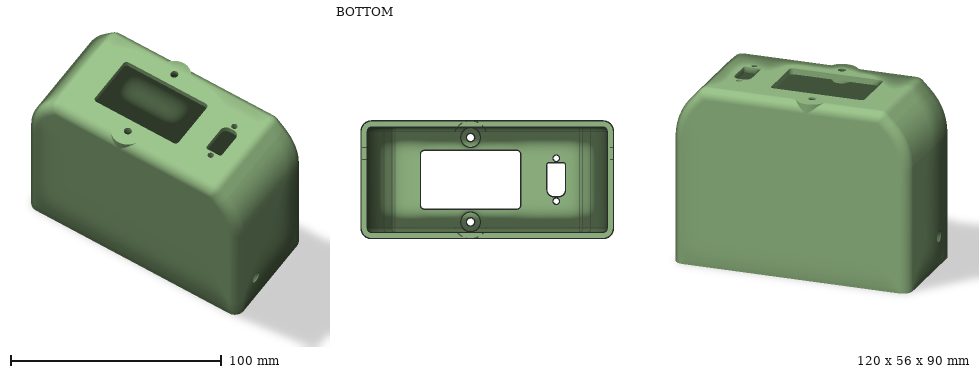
import cadquery as cq

LENGTH = 120.0
WIDTH = 56.0
HEIGHT = 90.0
WALL = 3.0
EDGE_RADIUS = 5.0
SHOULDER_CHAMFER = 14.0
SHOULDER_RADIUS = 30.0

SELECT_MARGIN = 1.2

WINDOW_X = -7.9
WINDOW_LENGTH = 47.5
WINDOW_WIDTH = 27.8
WINDOW_CORNER_RADIUS = 1.8
SCREW_Y = 20.0
SCREW_DIAMETER = 3.8
PAD_RADIUS = WIDTH / 2 - SCREW_Y
PAD_HEIGHT = EDGE_RADIUS
BOSS_RADIUS = 4.7

CONNECTOR_X = 32.8
CONNECTOR_LENGTH = 8.8
CONNECTOR_WIDTH = 16.1
CONNECTOR_LARGE_RADIUS = 3.2
CONNECTOR_SMALL_RADIUS = 1.0
CONNECTOR_SCREW_Y = 10.2
CONNECTOR_SCREW_DIAMETER = 3.0

SIDE_HOLE_DIAMETER = 5.5
SIDE_HOLE_Y = -12.5
SIDE_HOLE_Z = 15.0


def rounded_block(inset):
    """Shouldered block, offset inwards by `inset` everywhere except at the open bottom."""
    length = LENGTH - 2 * inset
    width = WIDTH - 2 * inset
    height = HEIGHT - inset
    chamfer = SHOULDER_CHAMFER - (2 - 2 ** 0.5) * inset
    edge_radius = EDGE_RADIUS - inset
    block = cq.Workplane("XY").box(length, width, height, centered=(True, True, False))
    block = block.edges("|Y and >Z").chamfer(chamfer)
    shoulder_z = height - chamfer
    lower_edges = cq.selectors.BoxSelector(
        (-LENGTH, -WIDTH, shoulder_z - SELECT_MARGIN), (LENGTH, WIDTH, shoulder_z + SELECT_MARGIN)
    )
    block = block.edges("|Y").edges(lower_edges).fillet(SHOULDER_RADIUS - inset)
    block = block.edges("|Y and >Z").fillet(edge_radius)
    return block.faces("<Y or >Y").edges("not <Z").fillet(edge_radius)


def top_cutter(x, y_positions, diameter):
    """Vertical round cutters through the top plate."""
    points = [(x, y) for y in y_positions]
    plane = cq.Workplane("XY").workplane(offset=HEIGHT / 2)
    return plane.pushPoints(points).circle(diameter / 2).extrude(HEIGHT)


def screw_discs(radius):
    """Discs around the two window screws, flush with the top face."""
    plane = cq.Workplane("XY").workplane(offset=HEIGHT - PAD_HEIGHT)
    points = [(WINDOW_X, SCREW_Y), (WINDOW_X, -SCREW_Y)]
    return plane.pushPoints(points).circle(radius).extrude(PAD_HEIGHT)


def window_cutter():
    plane = cq.Workplane("XY").workplane(offset=HEIGHT / 2).center(WINDOW_X, 0)
    window = plane.rect(WINDOW_LENGTH, WINDOW_WIDTH).extrude(HEIGHT)
    return window.edges("|Z").fillet(WINDOW_CORNER_RADIUS)


def connector_cutter():
    plane = cq.Workplane("XY").workplane(offset=HEIGHT / 2).center(CONNECTOR_X, 0)
    opening = plane.rect(CONNECTOR_LENGTH, CONNECTOR_WIDTH).extrude(HEIGHT)
    opening = opening.edges("|Z and >Y").fillet(CONNECTOR_LARGE_RADIUS)
    return opening.edges("|Z and <Y").fillet(CONNECTOR_SMALL_RADIUS)


def side_hole_cutter():
    plane = cq.Workplane("YZ").center(SIDE_HOLE_Y, SIDE_HOLE_Z)
    return plane.circle(SIDE_HOLE_DIAMETER / 2).extrude(LENGTH, both=True)


result = (
    rounded_block(0)
    .union(screw_discs(PAD_RADIUS))
    .cut(rounded_block(WALL))
    .union(screw_discs(BOSS_RADIUS))
    .cut(window_cutter())
    .cut(top_cutter(WINDOW_X, (SCREW_Y, -SCREW_Y), SCREW_DIAMETER))
    .cut(connector_cutter())
    .cut(top_cutter(CONNECTOR_X, (CONNECTOR_SCREW_Y, -CONNECTOR_SCREW_Y), CONNECTOR_SCREW_DIAMETER))
    .cut(side_hole_cutter())
)